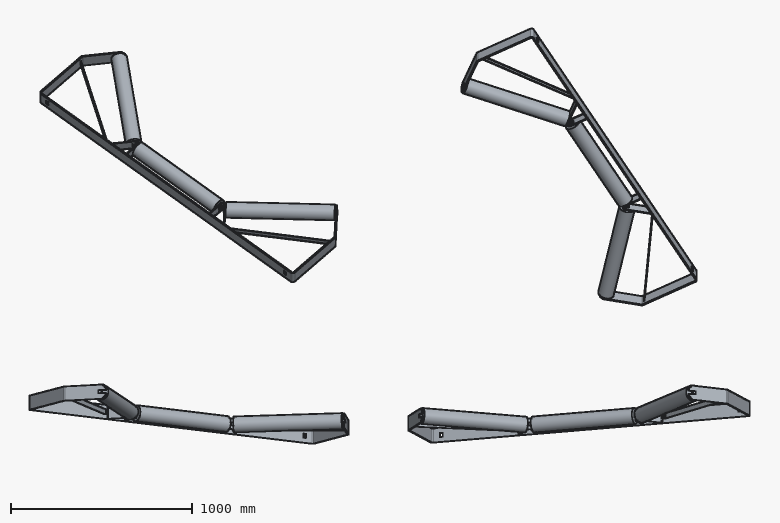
import cadquery as cq
import math

frame_width = 1890.0
frame_depth = 533.0
strip_height = 80.0
strip_thickness = 8.0
bend_radius = 15.0
upright_height = 350.0
trough_angle = 40.0
tip_chamfer = 20.0

frame_hole_width = 17.0
frame_hole_height = 23.0
frame_hole_inset = 60.0

roller_diameter = 89.0
roller_length = 600.0
roller_drop = 8.0
centre_roller_y = 102.0
side_roller_x = 573.0
side_roller_y = 306.0
shaft_size = 17.0
centre_shaft_reach = 13.0
inner_shaft_reach = 15.0
outer_shaft_reach = 17.0

bracket_height = 60.0
bracket_thickness = 6.0
bracket_upright_x = 306.0
bracket_foot_x = 435.0

strut_thickness = 5.0
strut_height = 30.0
strut_wall_y = 333.0
strut_foot_x = 442.0

half_width = frame_width / 2
half_height = strip_height / 2
arm_angle = 90 - trough_angle
arm_slope = math.tan(math.radians(arm_angle))
arm_tip_x = half_width - (frame_depth - upright_height) / arm_slope
bracket_apex_y = (bracket_foot_x - bracket_upright_x) * arm_slope
roller_tilt = math.degrees(math.asin(roller_drop / roller_length))
slot_length = roller_diameter


def bent_strip(outer_points, thickness, height):
    """Flat bar that follows a path of outer-face corners, with its thickness to the left of the path."""
    directions = []
    for (x0, y0), (x1, y1) in zip(outer_points, outer_points[1:]):
        length = math.hypot(x1 - x0, y1 - y0)
        directions.append(((x1 - x0) / length, (y1 - y0) / length))
    inner_points = []
    for i, (x, y) in enumerate(outer_points):
        ax, ay = directions[max(i - 1, 0)]
        bx, by = directions[min(i, len(directions) - 1)]
        mitre = thickness / (1 + ax * bx + ay * by)
        inner_points.append((x - mitre * (ay + by), y + mitre * (ax + bx)))
    strip = (
        cq.Workplane("XY", origin=(0, 0, -height / 2))
        .polyline(outer_points + inner_points[::-1])
        .close()
        .extrude(height)
    )
    for outer, inner in zip(outer_points[1:-1], inner_points[1:-1]):
        strip = strip.edges(cq.NearestToPointSelector((*outer, 0))).fillet(bend_radius)
        strip = strip.edges(cq.NearestToPointSelector((*inner, 0))).fillet(bend_radius - thickness)
    return strip


def place_side(shape):
    """Move a shape from roller coordinates (axis along X, outer end at +X) to the right-hand side."""
    return (
        shape.rotate((0, 0, 0), (0, 1, 0), -roller_tilt)
        .rotate((0, 0, 0), (0, 0, 1), trough_angle)
        .translate((side_roller_x, side_roller_y, -roller_drop / 2))
    )


def place_centre(shape):
    return shape.translate((0, centre_roller_y, -roller_drop))


def make_roller(left_reach, right_reach):
    """Roller along X with its square shaft, centred on the origin."""
    body = (
        cq.Workplane("YZ", origin=(-roller_length / 2, 0, 0))
        .circle(roller_diameter / 2)
        .extrude(roller_length)
    )
    shaft = (
        cq.Workplane("YZ", origin=(-roller_length / 2 - left_reach, 0, 0))
        .rect(shaft_size, shaft_size)
        .extrude(roller_length + left_reach + right_reach)
    )
    return body.union(shaft)


def shaft_slot(end):
    """Cutter at one end (-1 or +1) of a roller: a slot as wide as the shaft, open towards +Y."""
    return (
        cq.Workplane("XY")
        .box(2 * outer_shaft_reach, slot_length, shaft_size)
        .translate((end * (roller_length / 2 + outer_shaft_reach), (slot_length - shaft_size) / 2, 0))
    )


def make_frame():
    outline = [
        (-arm_tip_x, frame_depth),
        (-half_width, upright_height),
        (-half_width, 0),
        (half_width, 0),
        (half_width, upright_height),
        (arm_tip_x, frame_depth),
    ]
    frame = bent_strip(outline, strip_thickness, strip_height)
    holes = (
        cq.Workplane("XZ")
        .pushPoints([(side * (half_width - frame_hole_inset), 0) for side in (-1, 1)])
        .rect(frame_hole_width, frame_hole_height)
        .extrude(-strip_thickness)
    )
    slot = place_side(shaft_slot(1))
    return frame.cut(holes).cut(slot).cut(slot.mirror("YZ")).cut(tip_bevel(1)).cut(tip_bevel(-1))


def tip_bevel(end):
    """Cutter that bevels the upper (+1) or lower (-1) corners of both arm tips."""
    bevel_depth = tip_chamfer * math.sin(math.radians(arm_angle))
    corner = [
        (frame_depth, end * half_height),
        (frame_depth - bevel_depth, end * half_height),
        (frame_depth, end * (half_height - tip_chamfer)),
    ]
    return cq.Workplane("YZ").polyline(corner).close().extrude(half_width, both=True)


def make_bracket():
    """Inverted V on the base: a leg beside the centre roller and a sloping leg at the side roller."""
    foot_x = bracket_foot_x - strip_thickness / arm_slope
    outline = [
        (foot_x, strip_thickness),
        (bracket_upright_x, bracket_apex_y),
        (bracket_upright_x, strip_thickness),
    ]
    bracket = bent_strip(outline, bracket_thickness, bracket_height).translate((0, 0, -roller_drop))
    base_bar = cq.Workplane("XY").box(frame_width, 2 * strip_thickness, 2 * strip_height)
    return (
        bracket.cut(base_bar)
        .cut(place_centre(shaft_slot(1)))
        .cut(place_side(shaft_slot(-1)))
    )


def make_strut():
    wall_x = half_width - strip_thickness
    run = wall_x - strut_foot_x
    rise = strut_wall_y - strip_thickness
    length = math.hypot(run, rise)
    half_cut_x = strut_thickness / 2 * length / rise
    half_cut_y = strut_thickness / 2 * length / run
    return (
        cq.Workplane("XY", origin=(0, 0, -strut_height / 2))
        .polyline([
            (strut_foot_x - half_cut_x, strip_thickness),
            (strut_foot_x + half_cut_x, strip_thickness),
            (wall_x, strut_wall_y - half_cut_y),
            (wall_x, strut_wall_y + half_cut_y),
        ])
        .close()
        .extrude(strut_height)
    )


frame = make_frame()
centre_roller = place_centre(make_roller(centre_shaft_reach, centre_shaft_reach))
side_roller = place_side(make_roller(inner_shaft_reach, outer_shaft_reach))
bracket = make_bracket()
strut = make_strut()

bodies = [frame.val(), centre_roller.val()]
for right_body in (side_roller, bracket, strut):
    bodies += [right_body.val(), right_body.mirror("YZ").val()]

result = cq.Compound.makeCompound(bodies)